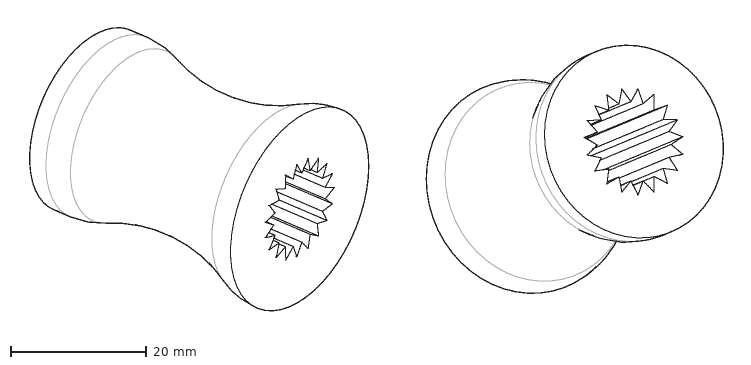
import cadquery as cq
import math

length = 40.0
flange_radius = 16.0
collar_radius = 14.5
collar_length = 3.15
neck_radius = 11.25
neck_x = length / 2
waist_arc_radius = 34.4

tooth_count = 19
groove_tip_radius = 8.0
tooth_crest_radius = 6.0


def shoulder_points(end_x, end_radius):
    """Return the joint with the waist arc and the midpoint of the convex
    shoulder arc that meets it tangentially and ends parallel to the axis."""
    run = end_x - neck_x
    rise = end_radius - neck_radius
    radius_sum = (run**2 + rise**2) / (2 * rise)
    shoulder_arc_radius = radius_sum - waist_arc_radius
    slope_angle = math.asin(run / radius_sum)
    center_radius = end_radius - shoulder_arc_radius

    def on_shoulder(angle):
        return (
            end_x - shoulder_arc_radius * math.sin(angle),
            center_radius + shoulder_arc_radius * math.cos(angle),
        )

    return on_shoulder(slope_angle), on_shoulder(slope_angle / 2)


def make_body():
    collar_joint, collar_mid = shoulder_points(collar_length, collar_radius)
    flange_joint, flange_mid = shoulder_points(length, flange_radius)
    profile = (
        cq.Workplane("XY")
        .lineTo(0, collar_radius)
        .lineTo(collar_length, collar_radius)
        .threePointArc(collar_mid, collar_joint)
        .threePointArc((neck_x, neck_radius), flange_joint)
        .threePointArc(flange_mid, (length, flange_radius))
        .lineTo(length, 0)
        .close()
    )
    return profile.revolve(360, (0, 0, 0), (1, 0, 0))


def make_serrated_bore():
    half_pitch = math.pi / tooth_count
    outline = []
    for index in range(tooth_count):
        tip_angle = 2 * index * half_pitch
        for radius, angle in (
            (groove_tip_radius, tip_angle),
            (tooth_crest_radius, tip_angle + half_pitch),
        ):
            outline.append((radius * math.cos(angle), radius * math.sin(angle)))
    return cq.Workplane("YZ").polyline(outline).close().extrude(length)


result = make_body().cut(make_serrated_bore())